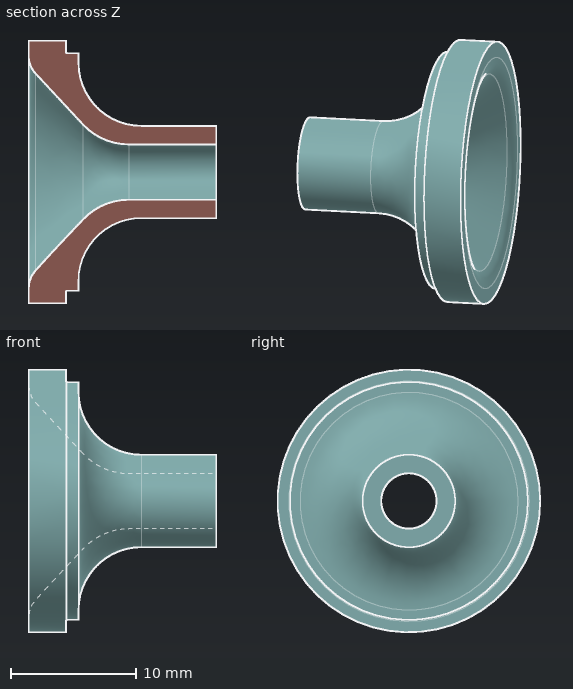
import cadquery as cq
import math

flange_radius = 21.0 / 2
flange_width = 3.0
step_radius = 19.0 / 2
step_width = 1.0
stem_radius = 7.4 / 2
bore_radius = 4.4 / 2
total_length = 15.0
mouth_radius = 18.5 / 2
corner_rounding = 0.1
flare_rounding = 5.0
lip_rounding = 2.0
throat_rounding = 5.0
cone_tilt = 42.9

FRONT = 180.0
INWARD = 270.0
cone_normal = FRONT + cone_tilt


def on_circle(center, radius, angle):
    """Point of a circle in the (x, radius) half-plane."""
    turn = math.radians(angle)
    return (center[0] + radius * math.cos(turn), center[1] + radius * math.sin(turn))


def rounding(center, radius, start, end):
    """Start, middle and end points of an arc between two directions."""
    return [on_circle(center, radius, angle) for angle in (start, (start + end) / 2, end)]


step_end = flange_width + step_width
corner_center = (flange_width + corner_rounding, step_radius + corner_rounding)
corner_arc = rounding(corner_center, corner_rounding, FRONT, INWARD)
flare_center = (step_end + flare_rounding, stem_radius + flare_rounding)
flare_arc = rounding(flare_center, flare_rounding, FRONT, INWARD)

lip_arc = rounding((lip_rounding, mouth_radius), lip_rounding, FRONT, cone_normal)
cone_start_x, cone_start_radius = lip_arc[-1]
tilt = math.radians(cone_tilt)
throat_center_radius = bore_radius + throat_rounding
cone_end_radius = throat_center_radius - throat_rounding * math.sin(tilt)
cone_end_x = cone_start_x + (cone_start_radius - cone_end_radius) * math.tan(tilt)
throat_center = (cone_end_x + throat_rounding * math.cos(tilt), throat_center_radius)
throat_arc = rounding(throat_center, throat_rounding, cone_normal, INWARD)


def half_section():
    """Closed half section: outside from mouth to stem, then back along the funnel."""
    return (
        cq.Workplane("XY")
        .moveTo(0, mouth_radius)
        .lineTo(0, flange_radius)
        .lineTo(flange_width, flange_radius)
        .lineTo(*corner_arc[0])
        .threePointArc(*corner_arc[1:])
        .lineTo(step_end, step_radius)
        .lineTo(*flare_arc[0])
        .threePointArc(*flare_arc[1:])
        .lineTo(total_length, stem_radius)
        .lineTo(total_length, bore_radius)
        .lineTo(*throat_arc[2])
        .threePointArc(throat_arc[1], throat_arc[0])
        .lineTo(*lip_arc[2])
        .threePointArc(lip_arc[1], lip_arc[0])
        .close()
    )


result = half_section().revolve(360, (0, 0, 0), (1, 0, 0))